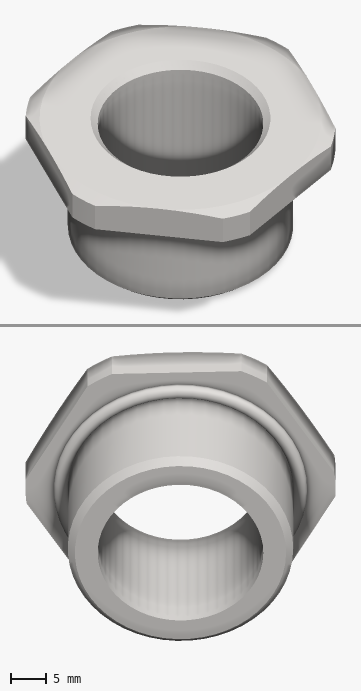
import cadquery as cq
import math

across_corners = 44.0
across_flats = 40.0
head_height = 5.0
crown_drop = 0.65
shank_length = 15.95
shank_diameter = 32.0
shank_chamfer = 1.0
bore_diameter = 23.5
bore_chamfer = 1.0
ring_section = 2.0
ring_protrusion = 1.28


def crowned_envelope():
    """Round blank whose conical crown trims the hexagon corners."""
    corner_radius = across_corners / 2
    return (
        cq.Workplane("XZ")
        .moveTo(0, 0)
        .lineTo(corner_radius, 0)
        .lineTo(corner_radius, head_height - crown_drop)
        .lineTo(across_flats / 2, head_height)
        .lineTo(0, head_height)
        .close()
        .revolve(360, (0, 0, 0), (0, 1, 0))
    )


def make_head():
    """Hexagon with flats facing +X and -X, cut to the crowned envelope."""
    hexagon_diameter = across_flats / math.cos(math.pi / 6)
    hexagon = (
        cq.Workplane("XY")
        .transformed(rotate=(0, 0, 30))
        .polygon(6, hexagon_diameter)
        .extrude(head_height)
    )
    return hexagon.intersect(crowned_envelope())


def make_shank():
    """Plain cylinder below the head with a tapered lower end."""
    return (
        cq.Workplane("XY")
        .circle(shank_diameter / 2)
        .extrude(-shank_length)
        .faces("<Z")
        .edges()
        .chamfer(shank_chamfer)
    )


def make_bore():
    """Through hole, countersunk at the top of the head."""
    bore_radius = bore_diameter / 2
    return (
        cq.Workplane("XZ")
        .moveTo(0, -shank_length)
        .lineTo(bore_radius, -shank_length)
        .lineTo(bore_radius, head_height - bore_chamfer)
        .lineTo(bore_radius + bore_chamfer, head_height)
        .lineTo(0, head_height)
        .close()
        .revolve(360, (0, 0, 0), (0, 1, 0))
    )


def make_ring_groove():
    """Square-walled annular groove in the underside of the head, next to the shank."""
    groove_depth = ring_section - ring_protrusion
    return (
        cq.Workplane("XY")
        .circle(shank_diameter / 2 + ring_section)
        .circle(shank_diameter / 2)
        .extrude(groove_depth)
    )


def make_plug():
    """Hollow hexagon-headed plug with a seat for the sealing ring."""
    blank = make_head().union(make_shank())
    return blank.cut(make_ring_groove()).cut(make_bore())


def make_sealing_ring():
    """O-ring around the shank, partly sunk into the groove of the head."""
    section_radius = ring_section / 2
    ring_radius = shank_diameter / 2 + section_radius
    return (
        cq.Workplane("XZ")
        .center(ring_radius, section_radius - ring_protrusion)
        .circle(section_radius)
        .revolve(360, (-ring_radius, 0, 0), (-ring_radius, 1, 0))
    )


plug = make_plug()
sealing_ring = make_sealing_ring()

result = cq.Compound.makeCompound([plug.val(), sealing_ring.val()])